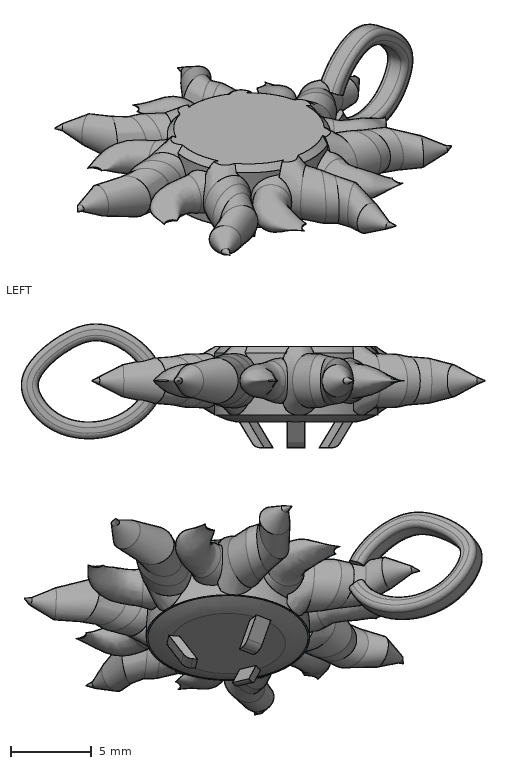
import cadquery as cq


ray_count = 7
ray_pitch = 360 / ray_count
first_ray_angle = 41.8

disc_radius = 5.05
disc_half_height = 2.13
disc_edge = 0.4

back_radius = 4.95
back_flat_radius = 3.55
back_depth = 0.43
back_bottom = -disc_half_height - back_depth
back_bulge = 0.06

prong_count = 3
first_prong_angle = 180
prong_root_radius = 3.72
prong_tip_radius = 2.62
prong_thickness = 0.66
prong_width = 1.1
prong_tip_round = 0.7
prong_bottom = -4.145
prong_embed = 0.2

bail_centre_x = 0.03
bail_width = 1.51
bail_thickness = 1.05
bail_edge_round = 0.35

long_ray_sections = [
    ((3.00, 1.40), (4.90, -2.50), 2.67),
    ((4.55, 0.60), (6.50, -2.10), 1.68),
    ((5.35, 0.65), (8.05, -1.45), 1.65),
    ((6.35, 0.82), (8.70, -0.95), 1.50),
    ((8.10, 1.35), (9.50, -1.02), 1.40),
    ((10.70, 0.57), (10.70, -1.42), 1.00),
    ((12.15, 0.00), (12.30, -0.52), 0.22),
    ((12.62, 0.07), (12.64, 0.03), 0.02),
]
short_ray_sections = [
    ((4.00, 3.70), (4.20, 0.30), 1.50),
    ((5.55, 3.15), (5.45, 0.80), 1.22),
    ((6.50, 3.12), (7.00, 0.95), 1.05),
    ((7.25, 3.55), (8.40, 1.75), 0.80),
    ((7.75, 4.03), (8.95, 3.00), 0.30),
    ((8.17, 4.40), (9.06, 4.38), 0.03),
]
short_ray_notch = [(8.10, 4.42), (8.60, 4.13), (9.10, 4.40)]

bail_path = [
    (8.90, 0.75),
    (9.60, 1.70),
    (12.60, 2.98),
    (14.60, 2.15),
    (15.75, 1.18),
    (16.46, -0.20),
    (16.05, -1.44),
    (14.85, -2.56),
    (12.50, -3.06),
    (9.60, -1.78),
    (8.90, -0.80),
]


def ray_section(left, right, half_height):
    """Upright ellipse standing on the chord between two points of the plane Z = 0."""
    along = cq.Vector(right[0] - left[0], right[1] - left[1], 0)
    centre = cq.Vector((left[0] + right[0]) / 2, (left[1] + right[1]) / 2, 0)
    normal = along.cross(cq.Vector(0, 0, 1))
    start_angle = -90
    ellipse = cq.Edge.makeEllipse(
        along.Length / 2, half_height, centre, normal, along, start_angle, start_angle + 360
    )
    return cq.Wire.assembleEdges([ellipse])


def make_long_ray():
    wires = [ray_section(*section) for section in long_ray_sections]
    return cq.Workplane(cq.Solid.makeLoft(wires, True))


def make_short_ray():
    wires = [ray_section(*section) for section in short_ray_sections]
    root = cq.Workplane(cq.Solid.makeLoft(wires[:2], True))
    flame = cq.Workplane(cq.Solid.makeLoft(wires[1:], False))
    start, middle, end = short_ray_notch
    beyond_tip = end[1] + 1
    notch = (
        cq.Workplane("XY")
        .moveTo(*start)
        .threePointArc(middle, end)
        .lineTo(end[0], beyond_tip)
        .lineTo(start[0], beyond_tip)
        .close()
        .extrude(disc_half_height, both=True)
    )
    return flame.cut(notch).union(root)


def make_disc():
    disc = cq.Workplane("XY").circle(disc_radius).extrude(disc_half_height, both=True)
    return disc.faces(">Z").edges().chamfer(disc_edge)


def make_back():
    """Shallow plate under the disc with a bowed, inward sloping edge."""
    bow_middle = (
        (back_radius + back_flat_radius) / 2 + back_bulge,
        -disc_half_height - back_depth / 2 - back_bulge,
    )
    return (
        cq.Workplane("XZ")
        .moveTo(0, -disc_half_height)
        .lineTo(back_radius, -disc_half_height)
        .threePointArc(bow_middle, (back_flat_radius, back_bottom))
        .lineTo(0, back_bottom)
        .close()
        .revolve(360, (0, 0, 0), (0, 1, 0))
    )


def make_prong():
    """Flat prong along +X, leaning toward the axis as it goes down."""
    lean = (prong_root_radius - prong_tip_radius) / (back_bottom - prong_bottom)
    top = back_bottom + prong_embed
    top_radius = prong_root_radius + lean * prong_embed
    prong = (
        cq.Workplane("XZ")
        .moveTo(top_radius, top)
        .lineTo(prong_tip_radius, prong_bottom)
        .lineTo(prong_tip_radius - prong_thickness, prong_bottom)
        .lineTo(top_radius - prong_thickness, top)
        .close()
        .extrude(prong_width / 2, both=True)
    )
    return prong.faces("<Z").edges(">X").fillet(prong_tip_round)


def make_sun():
    slab_side = 3 * long_ray_sections[-1][0][0]
    slab = cq.Workplane("XY").box(slab_side, slab_side, 2 * disc_half_height)
    long_ray = make_long_ray().intersect(slab)
    short_ray = make_short_ray()
    sun = make_disc().union(make_back())
    for i in range(ray_count):
        angle = first_ray_angle + i * ray_pitch
        for ray in (long_ray, short_ray):
            sun = sun.union(ray.rotate((0, 0, 0), (0, 0, 1), angle))
    for i in range(prong_count):
        angle = first_prong_angle + i * 360 / prong_count
        sun = sun.union(make_prong().rotate((0, 0, 0), (0, 0, 1), angle))
    return sun


def make_bail(sun):
    """Loop swept along its centre line; its ends stop on the surface of the sun."""
    path = cq.Workplane("YZ", origin=(bail_centre_x, 0, 0)).spline(bail_path)
    start = path.val().startPoint()
    tangent = path.val().tangentAt(0)
    section_plane = cq.Plane(start, (1, 0, 0), tangent)
    outline = cq.Sketch().rect(bail_width, bail_thickness).vertices().fillet(bail_edge_round)
    loop = cq.Workplane(section_plane).placeSketch(outline).sweep(path)
    return loop.cut(sun)


sun = make_sun()
bail = make_bail(sun)

result = cq.Compound.makeCompound([*sun.vals(), *bail.vals()])